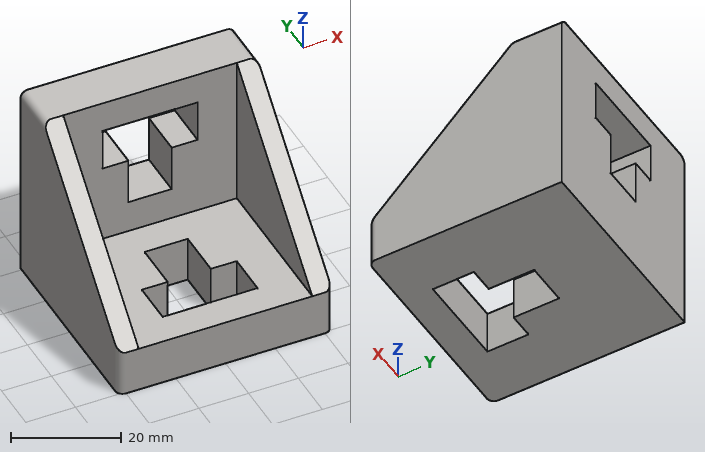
import cadquery as cq

width = 43.0
leg = 41.0

plate_thickness = 9.5
side_wall = 4.05
corner_radius = 1.5

bar_width = 19.1
bar_height = 8.7
stem_width = 8.7
stem_length = 9.65
slot_edge_gap = 6.45

pocket_width = width - 2 * side_wall
cut_depth = 2 * plate_thickness


def block():
    """Full-width block with the free corners of both plates rounded.

    X is centred, the free edge of the base is at Y = 0, the upright ends at Y = leg.
    """
    body = cq.Workplane("XY").box(width, leg, leg, centered=(True, False, False))
    body = body.edges("|Z and <Y").fillet(corner_radius)
    return body.edges("|Y and >Z").fillet(corner_radius)


def sloped_corner():
    """Triangular prism above the line joining the inner edges of the plate ends."""
    return (
        cq.Workplane("YZ")
        .moveTo(0, plate_thickness)
        .lineTo(0, leg)
        .lineTo(leg - plate_thickness, leg)
        .close()
        .extrude(width, both=True)
    )


def pocket():
    """Space between the side walls, in front of the upright and above the base."""
    reach = leg - plate_thickness
    return (
        cq.Workplane("XY")
        .workplane(offset=plate_thickness)
        .rect(pocket_width, 2 * reach)
        .extrude(leg)
    )


def tee_slot(workplane, free_edge, inward):
    """T-shaped cutter whose bar faces free_edge; inward is the sign of the stem direction."""
    bar_start = free_edge + inward * slot_edge_gap
    bar_end = bar_start + inward * bar_height
    stem_end = bar_end + inward * stem_length
    return (
        workplane
        .moveTo(-bar_width / 2, bar_start)
        .lineTo(bar_width / 2, bar_start)
        .lineTo(bar_width / 2, bar_end)
        .lineTo(stem_width / 2, bar_end)
        .lineTo(stem_width / 2, stem_end)
        .lineTo(-stem_width / 2, stem_end)
        .lineTo(-stem_width / 2, bar_end)
        .lineTo(-bar_width / 2, bar_end)
        .close()
        .extrude(cut_depth, both=True)
    )


base_slot = tee_slot(cq.Workplane("XY"), free_edge=0, inward=1)
upright_slot = tee_slot(cq.Workplane("XZ", origin=(0, leg, 0)), free_edge=leg, inward=-1)

result = block().cut(sloped_corner()).cut(pocket()).cut(base_slot).cut(upright_slot)